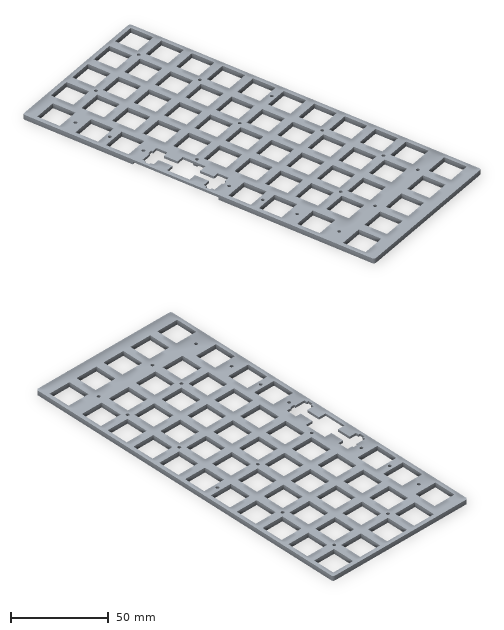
import cadquery as cq

LENGTH = 219.0
KEYS_WIDE = 11.5
KEYS_DEEP = 5
PITCH = LENGTH / KEYS_WIDE
DEPTH = KEYS_DEEP * PITCH
THICKNESS = 3.0
CORNER_RADIUS = 1.3

SWITCH_SIZE = 14.0
UPPER_ROW_WIDTHS = [1] * 10 + [1.5]
SPACE_BAR_WIDTH = 3
BOTTOM_ROW_WIDTHS = [1.5, 1, 1, SPACE_BAR_WIDTH, 1, 1, 1.5, 1.5]
BOTTOM_ROW = KEYS_DEEP - 0.5
SPACE_BAR_COLUMN = 5

STABILIZER_OFFSET = (SPACE_BAR_WIDTH - 1) / 2 * PITCH
HOUSING_WIDTH = 6.8
HOUSING_TOP = 5.7
HOUSING_BOTTOM = -6.8
TONGUE_WIDTH = 3.0
TONGUE_BOTTOM = -7.9
NOTCH_DEPTH = 0.9
NOTCH_TOP = 2.5
NOTCH_BOTTOM = -0.5
WIRE_SLOT_WIDTH = 4.5

HOLE_DIAMETER = 2.0
SIDE_HOLE_OFFSET = 1.4
POCKET_HOLES = [
    (SPACE_BAR_COLUMN - SIDE_HOLE_OFFSET, BOTTOM_ROW),
    (SPACE_BAR_COLUMN, KEYS_DEEP - 1),
    (SPACE_BAR_COLUMN + SIDE_HOLE_OFFSET, BOTTOM_ROW),
]
FIELD_HOLES = [(column, 1) for column in (1, 3, 7, 9, 10.125)]
FIELD_HOLES += [(column, 3) for column in (1, 9, 10.125)]
FIELD_HOLES += [(SPACE_BAR_COLUMN, row) for row in (0.5, 2)]
FIELD_HOLES += [(column, BOTTOM_ROW) for column in (1.375, 2.5, 7.5, 8.625, 10)]

POCKET_HEIGHT = 1.5
BOSS_DIAMETER = 4.0


def at(column, row):
    """Plate position of a point given in key pitches from the left and rear edges."""
    return (column * PITCH - LENGTH / 2, DEPTH / 2 - row * PITCH)


def box(x_min, x_max, y_min, y_max, height=THICKNESS):
    """Block between the given limits, rising from the underside of the plate."""
    return cq.Workplane("XY").box(x_max - x_min, y_max - y_min, height, centered=False).translate(
        (x_min, y_min, 0)
    )


def cylinders(places, diameter, height):
    """Upright cylinders standing on the underside plane at the given key positions."""
    points = [at(*place) for place in places]
    return cq.Workplane("XY").pushPoints(points).circle(diameter / 2).extrude(height)


def row_centres(key_widths, row):
    """Centres of a row of keys set side by side from the left edge."""
    centres = []
    left = 0
    for width in key_widths:
        centres.append(at(left + width / 2, row))
        left += width
    return centres


def switch_cutouts():
    centres = row_centres(BOTTOM_ROW_WIDTHS, BOTTOM_ROW)
    for row in range(KEYS_DEEP - 1):
        centres += row_centres(UPPER_ROW_WIDTHS, row + 0.5)
    return cq.Workplane("XY").pushPoints(centres).rect(SWITCH_SIZE, SWITCH_SIZE).extrude(THICKNESS)


def stabilizer_cutout():
    """Two stepped housings joined by the wire slot through the space bar switch."""
    half_slot = WIRE_SLOT_WIDTH / 2
    cutout = box(-STABILIZER_OFFSET, STABILIZER_OFFSET, -half_slot, half_slot)
    half_housing = HOUSING_WIDTH / 2
    half_tongue = TONGUE_WIDTH / 2
    housing = box(-half_housing, half_housing, HOUSING_BOTTOM, HOUSING_TOP)
    housing = housing.union(box(-half_tongue, half_tongue, TONGUE_BOTTOM, HOUSING_BOTTOM))
    housing = housing.union(box(0, half_housing + NOTCH_DEPTH, NOTCH_BOTTOM, NOTCH_TOP))
    right_housing = housing.translate((STABILIZER_OFFSET, 0, 0))
    cutout = cutout.union(right_housing).union(right_housing.mirror("YZ"))
    return cutout.translate((*at(SPACE_BAR_COLUMN, BOTTOM_ROW), 0))


def underside_pocket():
    """Recess open at the front edge, bounded by the lines through its three screw holes."""
    x_min = at(SPACE_BAR_COLUMN - SIDE_HOLE_OFFSET, BOTTOM_ROW)[0]
    x_max = at(SPACE_BAR_COLUMN + SIDE_HOLE_OFFSET, BOTTOM_ROW)[0]
    y_max = at(SPACE_BAR_COLUMN, KEYS_DEEP - 1)[1]
    pocket = box(x_min, x_max, -DEPTH / 2, y_max, POCKET_HEIGHT)
    return pocket.cut(cylinders(POCKET_HOLES, BOSS_DIAMETER, POCKET_HEIGHT))


plate = box(-LENGTH / 2, LENGTH / 2, -DEPTH / 2, DEPTH / 2).edges("|Z").fillet(CORNER_RADIUS)
plate = plate.cut(underside_pocket())
plate = plate.cut(switch_cutouts())
plate = plate.cut(stabilizer_cutout())
result = plate.cut(cylinders(FIELD_HOLES + POCKET_HOLES, HOLE_DIAMETER, THICKNESS))